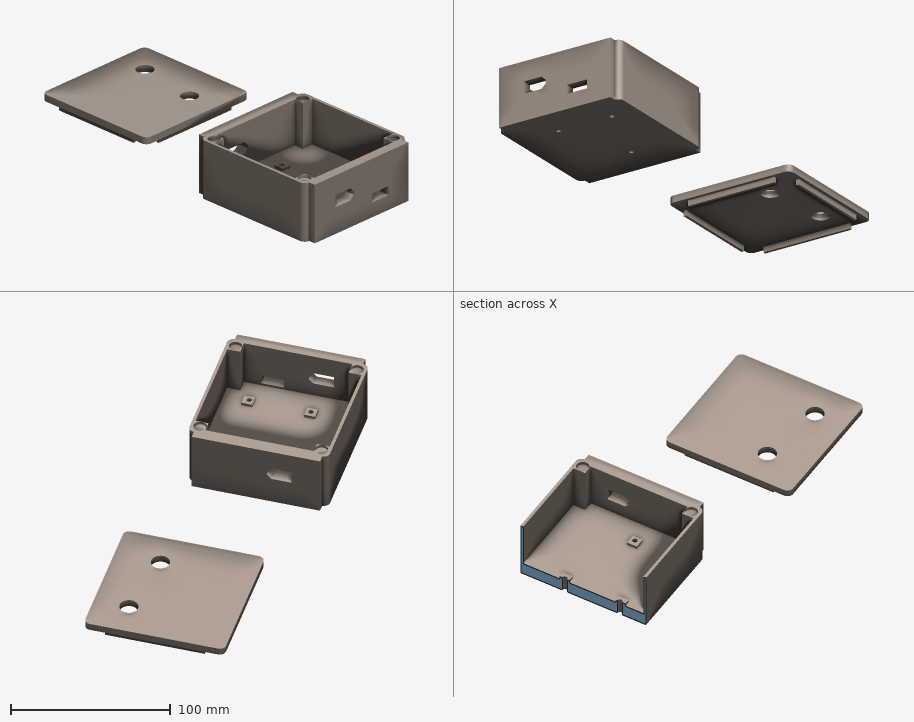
import cadquery as cq

BOX_SIDE = 91.5
BOX_HEIGHT = 41.0
CORNER_RADIUS = 4.0
WALL = 2.0
LEFT_WALL = 3.5
FLOOR = 9.0

PAD_THICKNESS = 4.9
PAD_LENGTH = 83.5

POST_SIDE = 8.5
POST_HOLE_DIAMETER = 8.5
POST_HOLE_DEPTH = 2.0

STANDOFF_SIDE = 7.2
STANDOFF_HEIGHT = 2.0
STANDOFF_CENTRES = [(-25.3, 7.0), (25.5, 27.0), (25.5, -13.8)]
SCREW_HOLE_DIAMETER = 3.3
SCREW_HOLE_CENTRES = [(-25.8, 6.6), (25.8, 26.5), (25.8, -13.5)]

PORT_LENGTH = 16.4
PORT_HEIGHT = 8.5
PORT_CHAMFER = 3.0
PORT_START_Y = -23.3
PORT_BOTTOM = 18.7

SLOT_LENGTH = 14.8
SLOT_HEIGHT = 6.1
SLOT_START_Y = 9.2
SLOT_BOTTOM = 10.5

LID_SIDE = BOX_SIDE
LID_THICKNESS = 4.9
LID_CENTRE = (-159.3, 21.2)
LID_TOP = 10.0
LIP_LENGTH = 65.0
LIP_HEIGHT = 3.8
LIP_WIDTH = 2.0
LIP_SPACING = 84.5
LIP_SHIFT_X = -0.5
WINDOW_DIAMETER = 12.0
WINDOW_CENTRES = [(-23.0, 23.0), (23.0, 15.9)]

BOX_HALF = BOX_SIDE / 2
PAD_FACE = BOX_HALF + PAD_THICKNESS
CAVITY_HALF = BOX_HALF - WALL
CAVITY_LEFT = -BOX_HALF + LEFT_WALL
CAVITY_HEIGHT = BOX_HEIGHT - FLOOR
POST_CENTRE = CAVITY_HALF - POST_SIDE / 2
LID_UNDERSIDE = LID_TOP - LID_THICKNESS


def block(x_range, y_range, z_range):
    """Axis-aligned block between the given limits."""
    size = [high - low for low, high in (x_range, y_range, z_range)]
    return cq.Workplane("XY").box(*size, centered=False).translate((x_range[0], y_range[0], z_range[0]))


def rounded_slab(side, thickness):
    """Square slab with rounded vertical edges, standing on Z = 0."""
    slab = cq.Workplane("XY").rect(side, side).extrude(thickness)
    return slab.edges("|Z").fillet(CORNER_RADIUS)


def box_shell():
    """Rounded body with a pad on each X side, hollowed down to the floor."""
    pads = cq.Workplane("XY").rect(2 * PAD_FACE, PAD_LENGTH).extrude(BOX_HEIGHT)
    cavity = block((CAVITY_LEFT, CAVITY_HALF), (-CAVITY_HALF, CAVITY_HALF), (FLOOR, BOX_HEIGHT))
    return rounded_slab(BOX_SIDE, BOX_HEIGHT).union(pads).cut(cavity)


def corner_posts():
    """Four square posts filling the cavity corners."""
    posts = cq.Workplane("XY").workplane(offset=FLOOR)
    posts = posts.rect(2 * POST_CENTRE, 2 * POST_CENTRE, forConstruction=True).vertices()
    return posts.rect(POST_SIDE, POST_SIDE).extrude(CAVITY_HEIGHT)


def post_holes():
    """Blind round recesses in the tops of the posts."""
    holes = cq.Workplane("XY").workplane(offset=BOX_HEIGHT - POST_HOLE_DEPTH)
    holes = holes.rect(2 * POST_CENTRE, 2 * POST_CENTRE, forConstruction=True).vertices()
    return holes.circle(POST_HOLE_DIAMETER / 2).extrude(POST_HOLE_DEPTH)


def standoffs():
    """Low square standoffs on the floor."""
    bases = cq.Workplane("XY").workplane(offset=FLOOR).pushPoints(STANDOFF_CENTRES)
    return bases.rect(STANDOFF_SIDE, STANDOFF_SIDE).extrude(STANDOFF_HEIGHT)


def screw_holes():
    """Screw holes through the standoffs and the floor."""
    holes = cq.Workplane("XY").pushPoints(SCREW_HOLE_CENTRES)
    return holes.circle(SCREW_HOLE_DIAMETER / 2).extrude(FLOOR + STANDOFF_HEIGHT)


def cable_port():
    """Cutter for the cable port, long enough to pass through both pad walls."""
    port = block(
        (-PAD_FACE, PAD_FACE),
        (PORT_START_Y, PORT_START_Y + PORT_LENGTH),
        (PORT_BOTTOM, PORT_BOTTOM + PORT_HEIGHT),
    )
    return port.faces(">Y").edges("|X").chamfer(PORT_CHAMFER)


def side_slot():
    """Cutter for the rectangular slot in the +X wall."""
    return block(
        (0, PAD_FACE),
        (SLOT_START_Y, SLOT_START_Y + SLOT_LENGTH),
        (SLOT_BOTTOM, SLOT_BOTTOM + SLOT_HEIGHT),
    )


def make_box():
    solid = box_shell().union(corner_posts()).union(standoffs())
    for cutter in (post_holes(), screw_holes(), cable_port(), side_slot()):
        solid = solid.cut(cutter)
    return solid


def lid_lips():
    """Four straight lips hanging under the cover, one along each edge."""
    lip_centre = LIP_SPACING / 2
    lips = cq.Workplane("XY").pushPoints([(LIP_SHIFT_X, -lip_centre), (LIP_SHIFT_X, lip_centre)])
    lips = lips.rect(LIP_LENGTH, LIP_WIDTH).extrude(-LIP_HEIGHT)
    side_lips = cq.Workplane("XY").pushPoints([(-lip_centre, 0), (lip_centre, 0)])
    return lips.union(side_lips.rect(LIP_WIDTH, LIP_LENGTH).extrude(-LIP_HEIGHT))


def make_lid():
    """Rounded cover with lips under its edges and two round windows through it."""
    cover = rounded_slab(LID_SIDE, LID_THICKNESS)
    windows = cq.Workplane("XY").pushPoints(WINDOW_CENTRES)
    windows = windows.circle(WINDOW_DIAMETER / 2).extrude(LID_THICKNESS)
    solid = cover.union(lid_lips()).cut(windows)
    return solid.translate((*LID_CENTRE, LID_UNDERSIDE))


box = make_box()
lid = make_lid()
result = cq.Compound.makeCompound([box.val(), lid.val()])